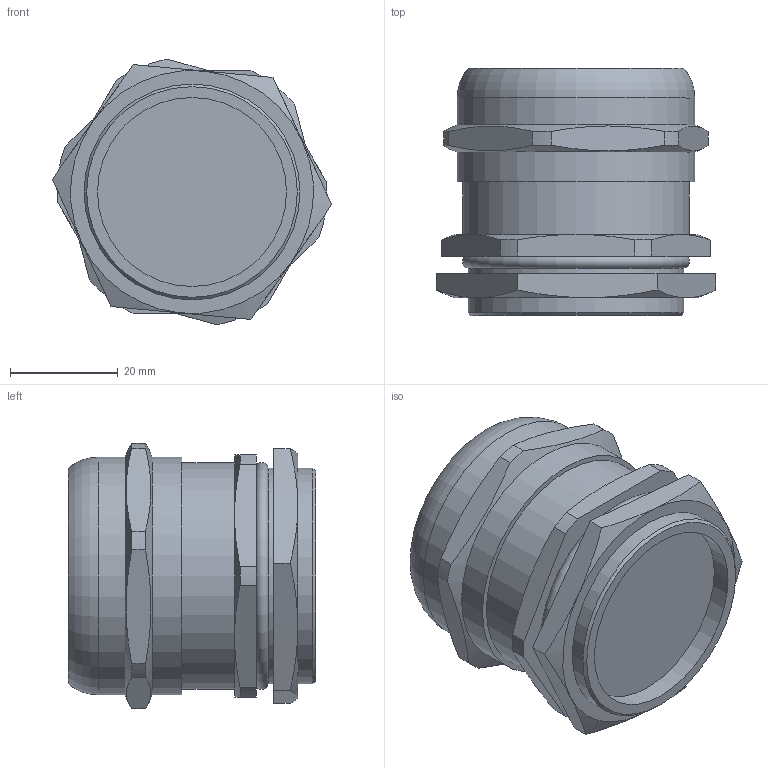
import cadquery as cq
import math


thread_radius = 40.0 / 2
thread_chamfer = 0.5
bore_radius = 35.0 / 2
bore_depth = 3.6

across_flats = 45.0
corner_radius = across_flats / math.sqrt(3)
corner_trim_radius = 50.0 / 2
corner_clearance = 0.1
chamfer_angle = 22.0

locknut_start = 3.3
locknut_thickness = 4.5
locknut_turn = -5.27

collar_start = 11.0
collar_thickness = 4.0
collar_turn = 0.0

ring_section_radius = 1.25
ring_outer_radius = 42.0 / 2
ring_inset = 1.0
ring_center = collar_start - ring_inset

barrel_radius = 42.0 / 2
total_length = 45.79
cap_radius = 44.0 / 2
cap_length = 21.0
cap_start = total_length - cap_length
dome_length = 5.5
dome_end_radius = 40.0 / 2
cap_skirt_length = 5.5
cap_hex_start = cap_start + cap_skirt_length
cap_hex_thickness = 5.0
cap_hex_turn = -15.27


def plane_at(y):
    """Plane across the axis, with local X along X, local Y along Z and its normal along -Y."""
    return cq.Workplane("XZ", origin=(0, y, 0))


def disc(start, end, radius):
    """Solid cylinder along the axis."""
    return plane_at(start).circle(radius).extrude(start - end)


def revolve_about_y(profile):
    """Close the half profile and turn it fully about the axis."""
    return profile.close().revolve(360, (0, 0, 0), (0, 1, 0))


def hexagon(start, thickness, turn, limit_radius, front_face_radius=None, back_face_radius=None):
    """Hexagon prism turned about the axis, cut to limit_radius and coned down to the given face radii."""
    end = start + thickness
    cone_slope = math.tan(math.radians(chamfer_angle))
    prism = plane_at(start).polygon(6, 2 * corner_radius).extrude(-thickness)
    prism = prism.rotate((0, 0, 0), (0, 1, 0), -turn)

    envelope = cq.Workplane("XY").moveTo(0, start)
    if front_face_radius is not None:
        front_drop = (limit_radius - front_face_radius) * cone_slope
        envelope = envelope.lineTo(front_face_radius, start).lineTo(limit_radius, start + front_drop)
    else:
        envelope = envelope.lineTo(limit_radius, start)
    if back_face_radius is not None:
        back_drop = (limit_radius - back_face_radius) * cone_slope
        envelope = envelope.lineTo(limit_radius, end - back_drop).lineTo(back_face_radius, end)
    else:
        envelope = envelope.lineTo(limit_radius, end)
    return prism.intersect(revolve_about_y(envelope.lineTo(0, end)))


def make_spigot():
    spigot = disc(0, collar_start, thread_radius)
    return spigot.faces("<Y").edges().chamfer(thread_chamfer)


def make_locknut():
    return hexagon(
        locknut_start, locknut_thickness, locknut_turn, corner_radius + corner_clearance,
        front_face_radius=across_flats / 2,
    )


def make_sealing_ring():
    """Torus around the spigot."""
    ring_center_radius = ring_outer_radius - ring_section_radius
    section = cq.Workplane("XY").center(-ring_center_radius, ring_center).circle(ring_section_radius)
    return section.revolve(360, (ring_center_radius, 0, 0), (ring_center_radius, 1, 0))


def make_collar():
    return hexagon(
        collar_start, collar_thickness, collar_turn, corner_trim_radius,
        back_face_radius=across_flats / 2,
    )


def make_cap():
    """Round cap whose dome is an arc tangent to the cylindrical side."""
    dome_start = total_length - dome_length
    profile = (
        cq.Workplane("XY")
        .moveTo(0, cap_start)
        .lineTo(cap_radius, cap_start)
        .lineTo(cap_radius, dome_start)
        .tangentArcPoint((dome_end_radius, total_length), relative=False)
        .lineTo(0, total_length)
    )
    return revolve_about_y(profile)


def make_cap_hexagon():
    return hexagon(
        cap_hex_start, cap_hex_thickness, cap_hex_turn, corner_trim_radius,
        front_face_radius=cap_radius, back_face_radius=cap_radius,
    )


gland = make_spigot()
gland = gland.union(make_locknut())
gland = gland.union(make_sealing_ring())
gland = gland.union(make_collar())
gland = gland.union(disc(collar_start, cap_start, barrel_radius))
gland = gland.union(make_cap())
gland = gland.union(make_cap_hexagon())
result = gland.cut(disc(0, bore_depth, bore_radius))